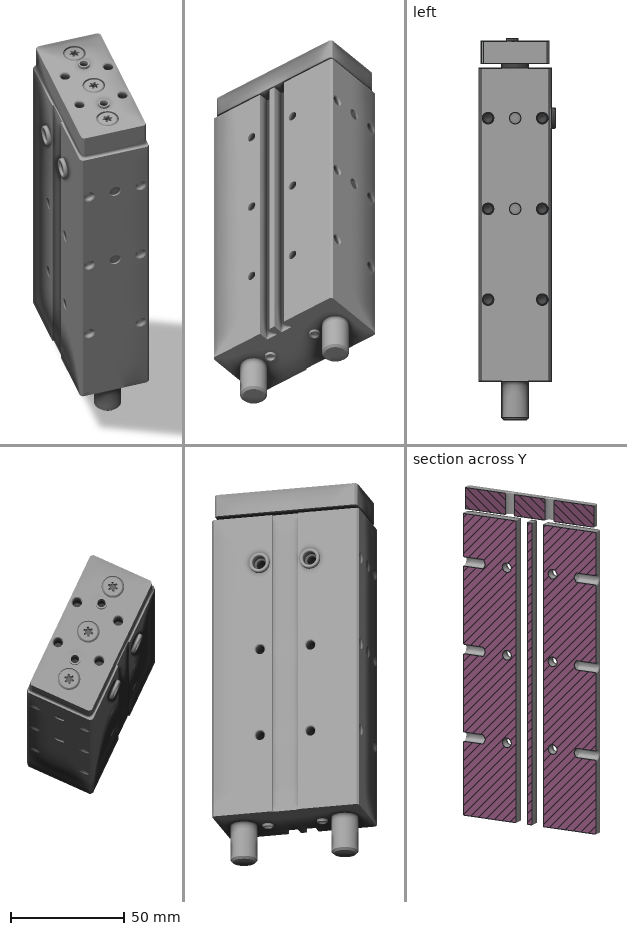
import cadquery as cq
import math


HOUSING_WIDTH = 67.0
HOUSING_DEPTH = 32.0
HOUSING_HEIGHT = 138.0
EDGE_CHAMFER = 1.0
FRONT_Y = -HOUSING_DEPTH / 2
BACK_Y = HOUSING_DEPTH / 2

FRONT_CHANNEL_WIDTH = 11.8
FRONT_CHANNEL_DEPTH = 0.7
SENSOR_SLOT_WIDTH = 5.4
SENSOR_SLOT_DEPTH = 5.0
SENSOR_RIB_WIDTH = 2.7

PLATE_WIDTH = 65.0
PLATE_DEPTH = 30.0
PLATE_HEIGHT = 10.0
PLATE_GAP = 2.0
PLATE_BOTTOM_Z = HOUSING_HEIGHT + PLATE_GAP
PLATE_TOP_Z = PLATE_BOTTOM_Z + PLATE_HEIGHT
PISTON_Y = 1.3
PISTON_DIAMETER = 7.0
PISTON_BORE_DEPTH = 100.9

SCREW_DIAMETER = 10.0
SCREW_FACE_DIAMETER = 8.0
STAR_CORE_DIAMETER = 2.9
STAR_LOBE_DIAMETER = 1.0
STAR_DIAMETER = 4.5
STAR_LOBES = 6
STAR_DEPTH = 2.0

ROD_DIAMETER = 12.0
ROD_X = 23.0
ROD_PROJECTION = 17.0
ROD_END_CHAMFER = 1.0

HOLE_DIAMETER = 4.2
HOLE_MOUTH_DIAMETER = 5.0
HOLE_DEPTH = 10.1
DRILL_POINT_ANGLE = 118.0
PLATE_HOLE_PITCH = 20.0
FRONT_HOLE_PITCH = 23.0
FRONT_HOLE_X = FRONT_HOLE_PITCH / 2
SIDE_HOLE_Y = 12.0
HOLE_PITCH_Z = 40.0
TOP_HOLE_INSET = 22.0
TOP_HOLE_Z = HOUSING_HEIGHT - TOP_HOLE_INSET
HOLE_ROWS = 3
HOLE_LEVELS = [TOP_HOLE_Z - row * HOLE_PITCH_Z for row in range(HOLE_ROWS)]
SIDE_RECESS_DIAMETER = 5.0
SIDE_RECESS_DEPTH = 0.8
SIDE_RECESS_LEVELS = HOLE_LEVELS[:2]

SMALL_SLEEVE_DIAMETER = 5.0
SMALL_SLEEVE_BORE = 3.7
SMALL_SLEEVE_PROJECTION = 1.2
SMALL_SLEEVE_SEAT_DEPTH = 2.0
PLATE_SLEEVE_X = 14.0
BASE_SLEEVE_X = 12.5
SLEEVE_PILOT_DEPTH = 6.7

LARGE_SLEEVE_DIAMETER = 9.0
LARGE_SLEEVE_BORE = 6.0
LARGE_SLEEVE_PROJECTION = 1.8
LARGE_SLEEVE_SEAT_DEPTH = 2.0

SIDES = (-1, 1)


def cylinder(diameter, length, start, direction):
    """Solid cylinder from the start point along the direction."""
    return cq.Workplane(cq.Solid.makeCylinder(diameter / 2, length, cq.Vector(*start), cq.Vector(*direction)))


def cone(start_diameter, end_diameter, length, start, direction):
    """Solid cone or cone frustum from the start point along the direction."""
    return cq.Workplane(
        cq.Solid.makeCone(start_diameter / 2, end_diameter / 2, length, cq.Vector(*start), cq.Vector(*direction))
    )


def hole_mouth(point, direction):
    """Countersink at the mouth of a threaded hole."""
    depth = (HOLE_MOUTH_DIAMETER - HOLE_DIAMETER) / 2
    return cone(HOLE_MOUTH_DIAMETER, HOLE_DIAMETER, depth, point, direction)


def drilled_hole(diameter, depth, point, direction):
    """Blind hole that ends in a drill point."""
    tip_length = diameter / 2 / math.tan(math.radians(DRILL_POINT_ANGLE / 2))
    tip_start = (cq.Vector(*point) + cq.Vector(*direction) * depth).toTuple()
    return cylinder(diameter, depth, point, direction).union(cone(diameter, 0, tip_length, tip_start, direction))


def sleeve_pocket(point, direction):
    """Seat of a small sleeve with the drilled pilot hole below it."""
    seat = cylinder(SMALL_SLEEVE_DIAMETER, SMALL_SLEEVE_SEAT_DEPTH, point, direction)
    return seat.union(drilled_hole(SMALL_SLEEVE_BORE, SLEEVE_PILOT_DEPTH, point, direction))


def make_housing():
    body = cq.Workplane().box(HOUSING_WIDTH, HOUSING_DEPTH, HOUSING_HEIGHT, centered=(True, True, False))
    body = body.edges("|Z").chamfer(EDGE_CHAMFER)

    channel = cq.Workplane().box(
        FRONT_CHANNEL_WIDTH, 2 * FRONT_CHANNEL_DEPTH, HOUSING_HEIGHT, centered=(True, True, False)
    )
    body = body.cut(channel.translate((0, FRONT_Y, 0)))
    slot = cq.Workplane().box(
        SENSOR_SLOT_WIDTH, 2 * SENSOR_SLOT_DEPTH, HOUSING_HEIGHT, centered=(True, True, False)
    )
    slot_x = (SENSOR_RIB_WIDTH + SENSOR_SLOT_WIDTH) / 2
    for side in SIDES:
        body = body.cut(slot.translate((side * slot_x, BACK_Y, 0)))

    for side in SIDES:
        body = body.cut(cylinder(ROD_DIAMETER, HOUSING_HEIGHT, (side * ROD_X, 0, 0), (0, 0, 1)))
    body = body.cut(cylinder(PISTON_DIAMETER, PISTON_BORE_DEPTH, (0, PISTON_Y, HOUSING_HEIGHT), (0, 0, -1)))

    for side in SIDES:
        for z in HOLE_LEVELS:
            point = (side * FRONT_HOLE_X, FRONT_Y, z)
            body = body.cut(cylinder(HOLE_DIAMETER, HOUSING_DEPTH, point, (0, 1, 0)))
            if z == TOP_HOLE_Z:
                body = body.cut(cylinder(LARGE_SLEEVE_DIAMETER, LARGE_SLEEVE_SEAT_DEPTH, point, (0, 1, 0)))
                point = (side * FRONT_HOLE_X, FRONT_Y + LARGE_SLEEVE_SEAT_DEPTH, z)
            body = body.cut(hole_mouth(point, (0, 1, 0)))

    for side in SIDES:
        side_x = side * HOUSING_WIDTH / 2
        inward = (-side, 0, 0)
        for z in HOLE_LEVELS:
            for y in (-SIDE_HOLE_Y, SIDE_HOLE_Y):
                body = body.cut(drilled_hole(HOLE_DIAMETER, HOLE_DEPTH, (side_x, y, z), inward))
                body = body.cut(hole_mouth((side_x, y, z), inward))
        for z in SIDE_RECESS_LEVELS:
            body = body.cut(cylinder(SIDE_RECESS_DIAMETER, SIDE_RECESS_DEPTH, (side_x, 0, z), inward))

    for side in SIDES:
        body = body.cut(sleeve_pocket((side * BASE_SLEEVE_X, PISTON_Y, 0), (0, 0, 1)))
    return body


def screw_face_cut(x, y):
    """Bevel groove around a flush screw head, and its six-lobed socket."""
    top = (x, y, PLATE_TOP_Z)
    down = (0, 0, -1)
    bevel = (SCREW_DIAMETER - SCREW_FACE_DIAMETER) / 2
    groove = cylinder(SCREW_DIAMETER, bevel, top, down)
    groove = groove.cut(cone(SCREW_FACE_DIAMETER, SCREW_DIAMETER, bevel, top, down))
    socket = cylinder(STAR_CORE_DIAMETER, STAR_DEPTH, top, down)
    lobe_radius = (STAR_DIAMETER - STAR_LOBE_DIAMETER) / 2
    for lobe in range(STAR_LOBES):
        angle = math.pi / 2 + lobe * 2 * math.pi / STAR_LOBES
        lobe_point = (x + lobe_radius * math.cos(angle), y + lobe_radius * math.sin(angle), PLATE_TOP_Z)
        socket = socket.union(cylinder(STAR_LOBE_DIAMETER, STAR_DEPTH, lobe_point, down))
    return groove.union(socket)


def make_yoke():
    """Yoke plate with the piston rod as one moving piece."""
    plate = cq.Workplane().box(PLATE_WIDTH, PLATE_DEPTH, PLATE_HEIGHT, centered=(True, True, False))
    plate = plate.edges("|Z").chamfer(EDGE_CHAMFER).translate((0, 0, PLATE_BOTTOM_Z))
    piston_length = PLATE_GAP + PISTON_BORE_DEPTH
    plate = plate.union(cylinder(PISTON_DIAMETER, piston_length, (0, PISTON_Y, PLATE_BOTTOM_Z), (0, 0, -1)))

    for side in SIDES:
        for row in SIDES:
            x = side * PLATE_HOLE_PITCH / 2
            y = PISTON_Y + row * PLATE_HOLE_PITCH / 2
            plate = plate.cut(cylinder(HOLE_DIAMETER, PLATE_HEIGHT, (x, y, PLATE_TOP_Z), (0, 0, -1)))
            plate = plate.cut(hole_mouth((x, y, PLATE_TOP_Z), (0, 0, -1)))

    for x, y in ((-ROD_X, 0), (0, PISTON_Y), (ROD_X, 0)):
        plate = plate.cut(screw_face_cut(x, y))

    for side in SIDES:
        plate = plate.cut(sleeve_pocket((side * PLATE_SLEEVE_X, PISTON_Y, PLATE_TOP_Z), (0, 0, -1)))
    return plate


def make_guide_rod(x):
    length = ROD_PROJECTION + PLATE_BOTTOM_Z
    rod = cylinder(ROD_DIAMETER, length, (x, 0, -ROD_PROJECTION), (0, 0, 1))
    return rod.faces("<Z").edges().chamfer(ROD_END_CHAMFER)


def make_small_sleeve(face_point, outward):
    """Plain ring seated in a face and standing out of it."""
    start = (cq.Vector(*face_point) - cq.Vector(*outward) * SMALL_SLEEVE_SEAT_DEPTH).toTuple()
    length = SMALL_SLEEVE_PROJECTION + SMALL_SLEEVE_SEAT_DEPTH
    ring = cylinder(SMALL_SLEEVE_DIAMETER, length, start, outward)
    return ring.cut(cylinder(SMALL_SLEEVE_BORE, length, start, outward))


def make_front_sleeve(x):
    """Large sleeve whose exposed end is fully rounded across the ring wall."""
    inner = LARGE_SLEEVE_BORE / 2
    outer = LARGE_SLEEVE_DIAMETER / 2
    shoulder = LARGE_SLEEVE_PROJECTION - (outer - inner) / 2
    wall = (
        cq.Workplane("XY")
        .moveTo(inner, LARGE_SLEEVE_SEAT_DEPTH)
        .lineTo(outer, LARGE_SLEEVE_SEAT_DEPTH)
        .lineTo(outer, -shoulder)
        .threePointArc(((inner + outer) / 2, -LARGE_SLEEVE_PROJECTION), (inner, -shoulder))
        .close()
    )
    return wall.revolve(360, (0, 0, 0), (0, 1, 0)).translate((x, FRONT_Y, TOP_HOLE_Z))


housing = make_housing()
yoke = make_yoke()
guide_rods = [make_guide_rod(side * ROD_X).val() for side in SIDES]
plate_sleeves = [
    make_small_sleeve((side * PLATE_SLEEVE_X, PISTON_Y, PLATE_TOP_Z), (0, 0, 1)).val() for side in SIDES
]
base_sleeves = [make_small_sleeve((side * BASE_SLEEVE_X, PISTON_Y, 0), (0, 0, -1)).val() for side in SIDES]
front_sleeves = [make_front_sleeve(side * FRONT_HOLE_X).val() for side in SIDES]

result = cq.Compound.makeCompound(
    [housing.val(), yoke.val(), *guide_rods, *plate_sleeves, *base_sleeves, *front_sleeves]
)